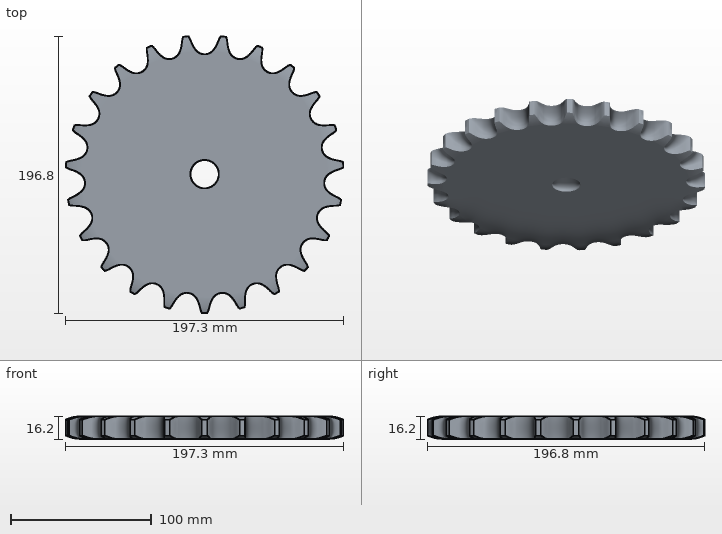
import cadquery as cq
import math

tooth_count = 23
chain_pitch = 25.4
roller_diameter = 15.88
tip_diameter = 197.5
width = 16.2
bore_diameter = 20.0
relief_radius = 26.0
relief_depth = 2.5

half_pitch_angle = math.pi / tooth_count
pitch_radius = chain_pitch / (2 * math.sin(half_pitch_angle))
tip_radius = tip_diameter / 2
half_width = width / 2

seating_clearance = 0.0381
seating_radius = 0.5025 * roller_diameter + seating_clearance
seating_angle = math.radians(35 + 60 / tooth_count)
working_angle = math.radians(18 - 56 / tooth_count)
flank_angle = seating_angle - working_angle
working_offset = 0.8 * roller_diameter
working_radius = seating_radius + working_offset
topping_offset = 1.4 * roller_diameter

relief_run = math.sqrt(relief_radius**2 - (relief_radius - relief_depth) ** 2)
relief_start_radius = tip_radius - relief_run


def polar(radius, angle):
    """Point at a radius and an angle above the X axis."""
    return (radius * math.cos(angle), radius * math.sin(angle))


def offset(point, distance, angle):
    """Point at a distance and direction from another point."""
    step = polar(distance, angle)
    return (point[0] + step[0], point[1] + step[1])


def rotate(point, angle):
    """Point turned about the wheel axis."""
    return polar(math.hypot(*point), math.atan2(point[1], point[0]) + angle)


def mirror(point):
    """Point reflected across the centre line of the tooth space."""
    return (-point[0], point[1])


def arc_middle(center, start, end):
    """Midpoint of the shorter arc from start to end."""
    chord_middle = ((start[0] + end[0]) / 2, (start[1] + end[1]) / 2)
    direction = math.atan2(chord_middle[1] - center[1], chord_middle[0] - center[0])
    return offset(center, math.dist(center, start), direction)


def tooth_space_flank():
    """Points up the +X side of a tooth space centred on +Y, from the seat to the tip."""
    roller_center = (0, pitch_radius)
    working_center = offset(roller_center, working_offset, math.pi - seating_angle)
    topping_center = offset(roller_center, topping_offset, -half_pitch_angle)

    seat_end = offset(roller_center, seating_radius, -seating_angle)
    working_end = offset(working_center, working_radius, -flank_angle)

    center_gap = (topping_center[0] - working_end[0], topping_center[1] - working_end[1])
    topping_radius = center_gap[0] * math.cos(flank_angle) - center_gap[1] * math.sin(flank_angle)
    topping_start = offset(topping_center, topping_radius, math.pi - flank_angle)

    center_distance = math.hypot(*topping_center)
    tip_cosine = (center_distance**2 + tip_radius**2 - topping_radius**2) / (
        2 * center_distance * tip_radius
    )
    topping_direction = math.atan2(topping_center[1], topping_center[0])
    tip_corner = polar(tip_radius, topping_direction + math.acos(tip_cosine))

    return {
        "seat_end": seat_end,
        "working_middle": arc_middle(working_center, seat_end, working_end),
        "working_end": working_end,
        "topping_start": topping_start,
        "topping_middle": arc_middle(topping_center, topping_start, tip_corner),
        "tip_corner": tip_corner,
    }


def toothed_blank():
    """Full-width plate with the toothed outline."""
    flank = tooth_space_flank()
    opposite = {name: mirror(point) for name, point in flank.items()}
    seat_bottom = (0, pitch_radius - seating_radius)

    outline = cq.Workplane("XY").workplane(offset=-half_width).moveTo(*opposite["tip_corner"])
    for index in range(tooth_count):
        space_angle = -2 * half_pitch_angle * index
        near = {name: rotate(point, space_angle) for name, point in opposite.items()}
        far = {name: rotate(point, space_angle) for name, point in flank.items()}
        outline = outline.threePointArc(near["topping_middle"], near["topping_start"])
        outline = outline.lineTo(*near["working_end"])
        outline = outline.threePointArc(near["working_middle"], near["seat_end"])
        outline = outline.threePointArc(rotate(seat_bottom, space_angle), far["seat_end"])
        outline = outline.threePointArc(far["working_middle"], far["working_end"])
        outline = outline.lineTo(*far["topping_start"])
        outline = outline.threePointArc(far["topping_middle"], far["tip_corner"])

        tooth_angle = math.pi / 2 + space_angle - half_pitch_angle
        next_tip_corner = rotate(opposite["tip_corner"], space_angle - 2 * half_pitch_angle)
        outline = outline.threePointArc(polar(tip_radius, tooth_angle), next_tip_corner)
    return outline.close().extrude(width)


def relieved_disc():
    """Disc with rounded rims that bounds the tooth faces."""
    rim_half_width = half_width - relief_depth
    arc_center = (relief_start_radius, half_width - relief_radius)
    rim_top = (tip_radius, rim_half_width)
    arc_top = arc_middle(arc_center, (relief_start_radius, half_width), rim_top)
    arc_bottom = (arc_top[0], -arc_top[1])
    return (
        cq.Workplane("XZ")
        .moveTo(0, -half_width)
        .lineTo(relief_start_radius, -half_width)
        .threePointArc(arc_bottom, (tip_radius, -rim_half_width))
        .lineTo(*rim_top)
        .threePointArc(arc_top, (relief_start_radius, half_width))
        .lineTo(0, half_width)
        .close()
        .revolve(360, (0, 0, 0), (0, 1, 0))
    )


def bore():
    """Through bore on the wheel axis."""
    return cq.Workplane("XY").workplane(offset=-half_width).circle(bore_diameter / 2).extrude(width)


result = toothed_blank().intersect(relieved_disc()).cut(bore())